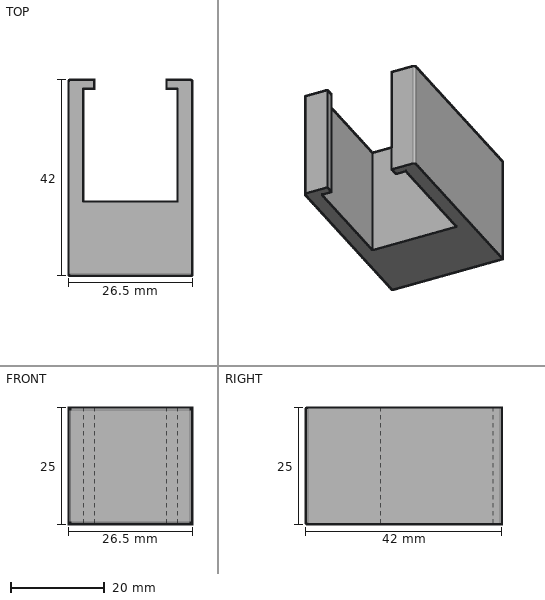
import cadquery as cq

width = 26.5
length = 42.0
height = 25.0

cavity_width = 20.1
mouth_width = 15.4
block_length = 16.0
lip_thickness = 2.0
cavity_length = length - block_length - lip_thickness

edge_radius = 0.5


def through_slot(slot_width, start_y, slot_length):
    """Box that cuts the full height, centred in X and running back from start_y."""
    return (
        cq.Workplane("XY")
        .box(slot_width, slot_length, height, centered=(True, False, False))
        .translate((0, start_y, 0))
    )


def make_clip():
    """Solid block with two hooked arms reaching back in +Y."""
    body = cq.Workplane("XY").box(width, length, height, centered=(True, False, False))

    body = body.faces("<Y").edges().fillet(edge_radius)
    body = body.faces(">Y").edges("|Z").fillet(edge_radius)

    cavity = through_slot(cavity_width, block_length, cavity_length)
    mouth = through_slot(mouth_width, block_length, cavity_length + lip_thickness)
    return body.cut(cavity).cut(mouth)


clip = make_clip()

result = cq.Compound.makeCompound([clip.solids().val()])